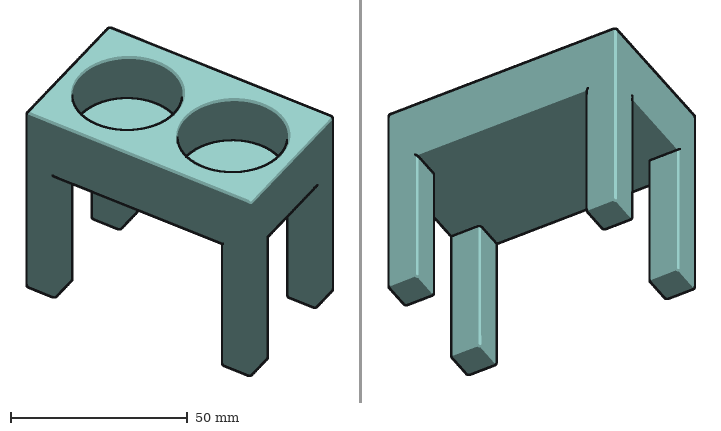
import cadquery as cq

length = 75.0
width = 45.0
height = 65.0

block_height = 20.0
leg_size = 10.0
edge_radius = 1.0

cup_diameter = 31.0
cup_depth = 15.0
cup_spacing = 35.0

leg_height = height - block_height


def make_frame():
    """Block on four square corner legs, standing on Z = 0; all edges but the leg roots are rounded."""
    block = cq.Workplane("XY").box(length, width, height, centered=(True, True, False))
    gap_along_y = cq.Workplane("XY").box(
        length - 2 * leg_size, width, leg_height, centered=(True, True, False)
    )
    gap_along_x = cq.Workplane("XY").box(
        length, width - 2 * leg_size, leg_height, centered=(True, True, False)
    )
    frame = block.cut(gap_along_y).cut(gap_along_x)

    underside = frame.faces(cq.NearestToPointSelector((0, 0, leg_height)))
    leg_roots = underside.edges("not (<X or >X or <Y or >Y)")
    rounded_edges = [
        edge
        for edge in frame.edges().vals()
        if not any(edge.isSame(root) for root in leg_roots.vals())
    ]
    return frame.newObject(rounded_edges).fillet(edge_radius)


def cut_cups(body):
    """Sink two flat-bottomed cups into the top and round their rims."""
    cup_centers = [(-cup_spacing / 2, 0), (cup_spacing / 2, 0)]
    cups = (
        cq.Workplane("XY")
        .workplane(offset=height - cup_depth)
        .pushPoints(cup_centers)
        .circle(cup_diameter / 2)
        .extrude(cup_depth)
    )
    body = body.cut(cups)
    return body.faces(">Z").edges("%CIRCLE").fillet(edge_radius)


result = cut_cups(make_frame())